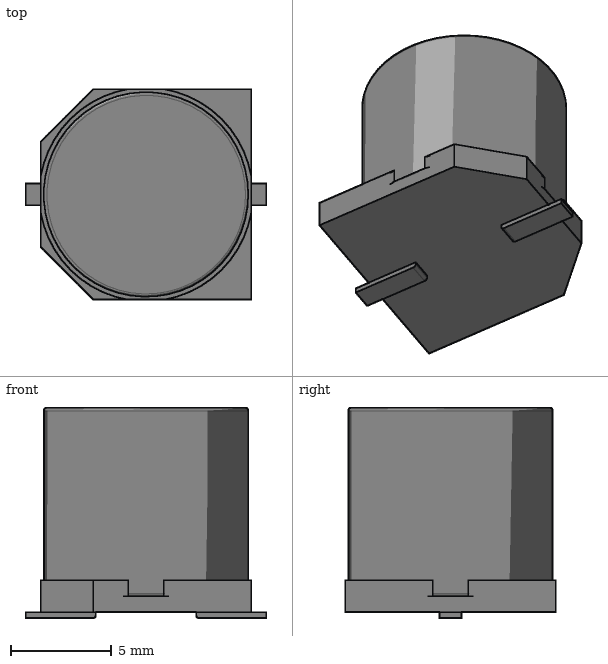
import cadquery as cq

overall_length = 12.0
overall_height = 10.5

lead_width = 1.1
lead_thickness = 0.3
lead_inner_x = 2.5
lead_length = overall_length / 2 - lead_inner_x
lead_inner_edge_radius = 0.15

base_side = 10.5
base_corner_cut = base_side / 4
base_bottom_z = lead_thickness
base_top_z = 1.9

recess_diameter = 10.65
recess_floor_z = 1.1

can_diameter = 10.2
can_edge_radius = 0.15
can_height = overall_height - recess_floor_z


def make_base():
    plate = (
        cq.Workplane("XY")
        .workplane(offset=base_bottom_z)
        .rect(base_side, base_side)
        .extrude(base_top_z - base_bottom_z)
        .edges("|Z and <X")
        .chamfer(base_corner_cut)
    )
    recess = (
        cq.Workplane("XY")
        .workplane(offset=recess_floor_z)
        .circle(recess_diameter / 2)
        .extrude(base_top_z - recess_floor_z)
    )
    return plate.cut(recess)


def make_can():
    return (
        cq.Workplane("XY")
        .workplane(offset=recess_floor_z)
        .circle(can_diameter / 2)
        .extrude(can_height)
        .faces("<Z or >Z")
        .edges()
        .fillet(can_edge_radius)
    )


def make_lead(side):
    """Lead on the +X side (side = 1) or the -X side (side = -1)."""
    lead_center_x = side * (lead_inner_x + lead_length / 2)
    inner_end = "<X" if side > 0 else ">X"
    return (
        cq.Workplane("XY")
        .center(lead_center_x, 0)
        .rect(lead_length, lead_width)
        .extrude(lead_thickness)
        .faces(inner_end)
        .edges("<Z")
        .fillet(lead_inner_edge_radius)
    )


base = make_base()
can = make_can()
leads = [make_lead(side) for side in (-1, 1)]

result = cq.Compound.makeCompound([base.val(), can.val(), *[lead.val() for lead in leads]])